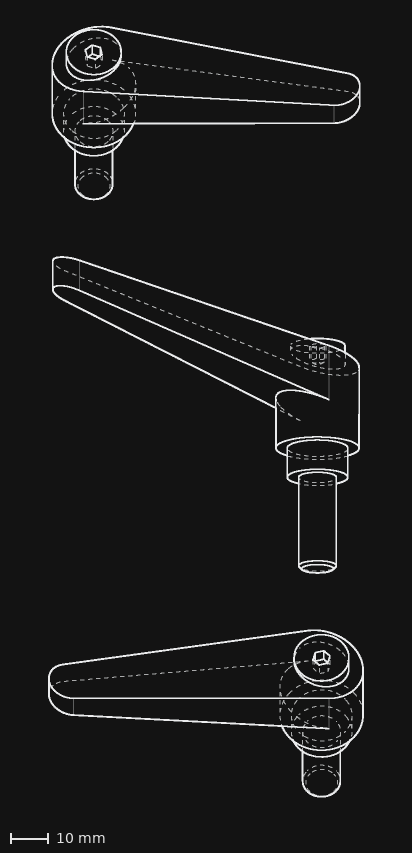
import cadquery as cq
import math


hub_radius = 11.0
collar_diameter = 16.0
collar_height = 8.0
stud_diameter = 10.0
stud_length = 25.0
stud_chamfer = 0.8

tip_radius = 5.5
tip_reach = 74.0
tip_top_height = 44.7
top_slope = math.radians(15)
underside_slope = math.radians(20)
underside_axis_height = 10.0

head_diameter = 14.5
head_top_height = 28.0
socket_across_flats = 4.0
socket_depth = 4.0
socket_point_angle = math.radians(120)

tip_center = tip_reach - tip_radius
flank_sin = (hub_radius - tip_radius) / tip_center
flank_cos = math.sqrt(1 - flank_sin**2)
socket_across_corners = socket_across_flats / math.cos(math.pi / 6)


def top_height(x):
    """Height of the sloped top face at a given X."""
    return tip_top_height - (tip_reach - x) * math.tan(top_slope)


def underside_height(x):
    """Height of the sloped underside of the arm at a given X."""
    return underside_axis_height + x * math.tan(underside_slope)


def side_slab(points):
    """Extrude an XZ outline symmetrically across the full lever width."""
    return cq.Workplane("XZ").polyline(points).close().extrude(hub_radius, both=True)


def make_hub():
    blank = cq.Workplane("XY").circle(hub_radius).extrude(tip_top_height)
    below_top = side_slab([
        (-hub_radius, 0),
        (hub_radius, 0),
        (hub_radius, top_height(hub_radius)),
        (-hub_radius, top_height(-hub_radius)),
    ])
    return blank.intersect(below_top)


def make_arm():
    hub_x = hub_radius * flank_sin
    hub_y = hub_radius * flank_cos
    tip_x = tip_center + tip_radius * flank_sin
    tip_y = tip_radius * flank_cos
    plan = (
        cq.Workplane("XY")
        .moveTo(hub_x, -hub_y)
        .lineTo(tip_x, -tip_y)
        .threePointArc((tip_reach, 0), (tip_x, tip_y))
        .lineTo(hub_x, hub_y)
        .close()
        .extrude(tip_top_height)
    )
    side = side_slab([
        (hub_x, underside_height(hub_x)),
        (tip_reach, underside_height(tip_reach)),
        (tip_reach, tip_top_height),
        (hub_x, top_height(hub_x)),
    ])
    return plan.intersect(side)


def make_collar_and_stud():
    collar = cq.Workplane("XY").circle(collar_diameter / 2).extrude(-collar_height)
    stud = (
        cq.Workplane("XY", origin=(0, 0, -collar_height))
        .circle(stud_diameter / 2)
        .extrude(-stud_length)
        .faces("<Z")
        .chamfer(stud_chamfer)
    )
    return collar.union(stud)


def make_screw_head():
    return (
        cq.Workplane("XY", origin=(0, 0, underside_axis_height))
        .circle(head_diameter / 2)
        .extrude(head_top_height - underside_axis_height)
    )


def make_socket():
    corner_radius = socket_across_corners / 2
    point_depth = corner_radius / math.tan(socket_point_angle / 2)
    prism = (
        cq.Workplane("XY", origin=(0, 0, head_top_height))
        .polygon(6, socket_across_corners)
        .extrude(-(socket_depth + point_depth))
    )
    drill = (
        cq.Workplane("XZ", origin=(0, 0, head_top_height))
        .moveTo(0, 0)
        .lineTo(corner_radius, 0)
        .lineTo(corner_radius, -socket_depth)
        .lineTo(0, -(socket_depth + point_depth))
        .close()
        .revolve(360, (0, 0), (0, 1))
    )
    return prism.intersect(drill)


lever = make_hub().union(make_arm())
result = lever.union(make_collar_and_stud()).union(make_screw_head()).cut(make_socket())